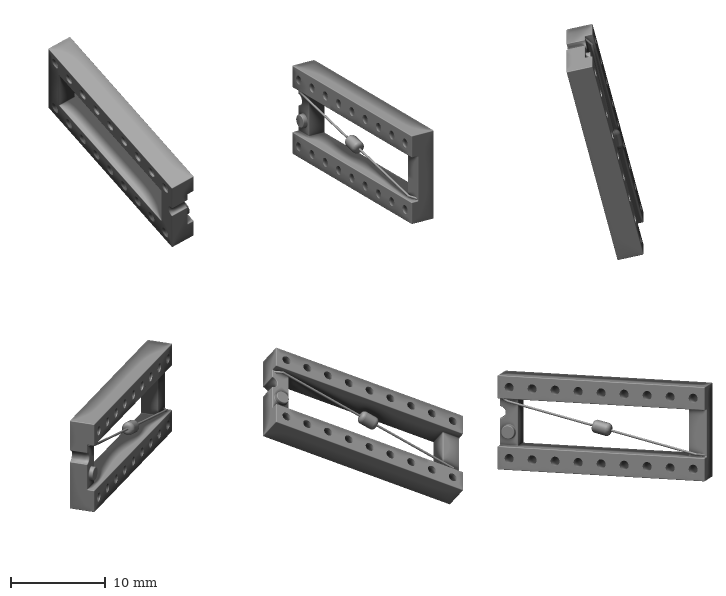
import cadquery as cq

length = 22.8
height = 10.1
depth = 2.8
edge_round = 0.08

window_length = 18.76
window_height = 5.13
channel_depth = 0.8
channel_floor = depth - channel_depth

holes_per_row = 9
pitch = 2.53
row_spacing = 7.62
hole_diameter = 0.98
countersink_diameter = 1.15

notch_radius = 0.64
notch_z = 0.95

boss_radius = 0.73
boss_height = 0.5
boss_x = 10.37
boss_z = -1.07

overall_depth = 3.2
capsule_radius = 0.7
capsule_length = 2.05
capsule_round = 0.4
lead_radius = 0.125
lead_tilt = 12.3
lead_reach = 10.6
lead_y = overall_depth - capsule_radius

foot_run = 0.91
foot_embed = 0.18


def block(size_x, y_start, y_end, size_z):
    """Box centred on X and Z, running from y_start to y_end."""
    return cq.Workplane("XY").box(size_x, y_end - y_start, size_z).translate((0, (y_start + y_end) / 2, 0))


def rod(x, z, radius, y_start, y_end):
    """Cylinder along Y."""
    return cq.Workplane(
        cq.Solid.makeCylinder(radius, y_end - y_start, cq.Vector(x, y_start, z), cq.Vector(0, 1, 0))
    )


def make_frame():
    """Frame with window, channel, notch and boss, all of its edges rounded."""
    frame = block(length, 0, depth, height)
    frame = frame.cut(block(window_length, 0, depth, window_height))
    frame = frame.cut(block(length, channel_floor, depth, window_height))
    frame = frame.cut(rod(length / 2, notch_z, notch_radius, 0, depth))
    boss = rod(boss_x, boss_z, boss_radius, channel_floor, channel_floor + boss_height)
    return frame.union(boss).edges().fillet(edge_round)


def contact_hole(x, z):
    """Cutter for one through hole, flared at the front face."""
    flare = (countersink_diameter - hole_diameter) / 2
    cone = cq.Solid.makeCone(
        countersink_diameter / 2, hole_diameter / 2, flare, cq.Vector(x, 0, z), cq.Vector(0, 1, 0)
    )
    return rod(x, z, hole_diameter / 2, 0, depth).union(cq.Workplane(cone))


def make_component():
    """Capsule with bent leads, built along X and then tilted about Y."""
    capsule = cq.Workplane("YZ").circle(capsule_radius).extrude(capsule_length / 2, both=True)
    capsule = capsule.edges().fillet(capsule_round)
    foot_reach = lead_reach + foot_run
    foot_y = channel_floor - foot_embed - lead_y
    lead_path = cq.Workplane("XY").polyline(
        [(-foot_reach, foot_y), (-lead_reach, 0), (lead_reach, 0), (foot_reach, foot_y)]
    )
    foot_direction = cq.Vector(foot_run, -foot_y, 0)
    lead_start = cq.Plane(origin=(-foot_reach, foot_y, 0), xDir=(0, 0, 1), normal=foot_direction)
    lead = cq.Workplane(lead_start).circle(lead_radius).sweep(lead_path, transition="right")
    component = capsule.union(lead).rotate((0, 0, 0), (0, 1, 0), -lead_tilt)
    return component.translate((0, lead_y, 0))


def drill_contact_holes(frame):
    for z in (-row_spacing / 2, row_spacing / 2):
        for i in range(holes_per_row):
            x = (i - (holes_per_row - 1) / 2) * pitch
            frame = frame.cut(contact_hole(x, z))
    return frame


result = drill_contact_holes(make_frame()).union(make_component())